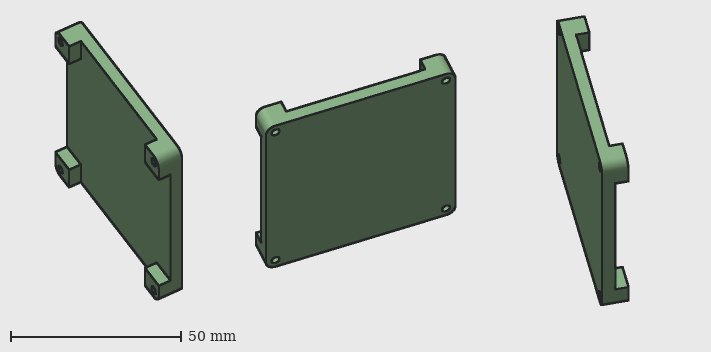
import cadquery as cq

width = 59.95
depth = 8.0
height = 64.0

plate_thickness = depth / 2
pad_size = 8.0
corner_radius = 3.0
hole_diameter = 2.5


def rounded_block():
    """Full-depth block, centred on the origin, with its four corner edges along Y rounded."""
    return cq.Workplane("XY").box(width, depth, height).edges("|Y").fillet(corner_radius)


def front_recess():
    """Cross-shaped volume between the corner pads, in front of the plate."""
    recess_depth = depth - plate_thickness
    recess_y = (recess_depth - depth) / 2
    gap_x = width - 2 * pad_size
    gap_z = height - 2 * pad_size
    upright = cq.Workplane("XY").box(gap_x, recess_depth, height)
    crossbar = cq.Workplane("XY").box(width, recess_depth, gap_z)
    return upright.union(crossbar).translate((0, recess_y, 0))


def corner_holes():
    """Through holes along Y, concentric with the rounded corners."""
    return (
        cq.Workplane("XZ")
        .rect(width - 2 * corner_radius, height - 2 * corner_radius, forConstruction=True)
        .vertices()
        .circle(hole_diameter / 2)
        .extrude(depth / 2, both=True)
    )


result = rounded_block().cut(front_recess()).cut(corner_holes())